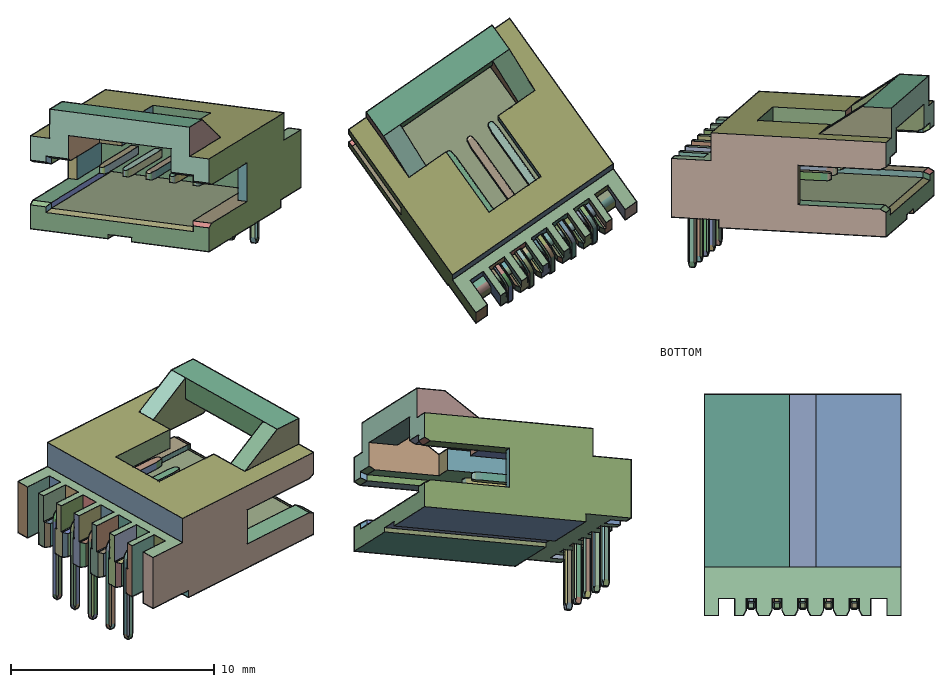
import cadquery as cq
import math


width = 9.68
length = 10.90
body_height = 4.77
rear_top_start = 8.89
rear_top_height = 3.37
rear_foot_start = 8.50
rear_foot_height = 0.40
key_groove_width = 1.28
key_groove_height = 0.22

cavity_depth = 7.36
cavity_floor = 1.10
cavity_ceiling = 3.68
cavity_centre_width = 7.66
side_floor = 1.39
side_ceiling = rear_top_height
cavity_side_width = 8.72
side_slot_depth = 4.48
mouth_flare = 0.16
mouth_flare_depth = 0.30

hood_width = 7.57
hood_top = 6.27
hood_flat_length = 1.48
hood_length = 3.67
hood_underside = 5.04
latch_width = 5.55
latch_slot_width = 3.12

pin_count = 5
pitch = 1.27
pin_size = 0.40
pin_height = 2.38
pin_row = 10.40
pin_bend_radius = 0.43
pin_chamfer = 0.088
pin_foot = -2.57
foot_taper_length = 0.30
foot_tip_size = 0.24
pin_front = 3.37
blade_taper_start = 3.85
blade_tip_start = 3.51
blade_tip_width = 0.30
blade_tip_height = 0.32
blade_tip_rounding = 0.13

comb_wall = 9.41
pin_gap = 0.92
end_gap_inner = 3.35
end_gap_outer = 4.14
support_end = 10.07
support_rounding = 0.31
support_top = pin_height - pin_size / 2
guide_ledge = support_top - support_rounding
guide_top_half_gap = 0.373
guide_half_gap = 0.241
guide_lead_length = 0.26

overlap = 1.0
pin_positions = [(i - (pin_count - 1) / 2) * pitch for i in range(pin_count)]


def block(x, y, z):
    """Box given by its (low, high) limits on each axis."""
    size = (x[1] - x[0], y[1] - y[0], z[1] - z[0])
    return cq.Workplane("XY").box(*size, centered=False).translate((x[0], y[0], z[0]))


def centred_block(x_width, y, z):
    return block((-x_width / 2, x_width / 2), y, z)


def side_profile(points, x_width):
    """Closed (y, z) outline extruded evenly about X = 0."""
    return cq.Workplane("YZ").polyline(points).close().extrude(x_width / 2, both=True)


def housing_shell():
    body = side_profile(
        [
            (0, 0),
            (rear_foot_start, 0),
            (rear_foot_start, rear_foot_height),
            (length, rear_foot_height),
            (length, rear_top_height),
            (rear_top_start, rear_top_height),
            (rear_top_start, body_height),
            (0, body_height),
        ],
        width,
    )
    hood = side_profile(
        [
            (0, side_ceiling + mouth_flare),
            (0, hood_top),
            (hood_flat_length, hood_top),
            (hood_length, body_height),
            (hood_length, side_ceiling + mouth_flare),
        ],
        hood_width,
    )
    groove = centred_block(key_groove_width, (0, rear_foot_start), (0, key_groove_height))
    return body.union(hood).cut(groove)


def flared_mouth(x_width, floor, ceiling):
    """Tapered lead-in from the mouth face down to the given opening."""
    height = ceiling - floor
    return (
        cq.Workplane("XZ")
        .center(0, (floor + ceiling) / 2)
        .rect(x_width + 2 * mouth_flare, height + 2 * mouth_flare)
        .workplane(offset=-mouth_flare_depth)
        .rect(x_width, height)
        .loft(combine=True)
    )


def mating_cavity():
    centre_z = (cavity_floor, cavity_ceiling)
    side_z = (side_floor, side_ceiling)
    open_width = width + 2 * overlap
    return (
        centred_block(cavity_centre_width, (0, cavity_depth), centre_z)
        .union(centred_block(cavity_side_width, (0, cavity_depth), side_z))
        .union(centred_block(open_width, (0, side_slot_depth), side_z))
        .union(flared_mouth(cavity_centre_width, *centre_z))
        .union(flared_mouth(open_width, *side_z))
    )


def latch_opening():
    mid_height = (cavity_floor + cavity_ceiling) / 2
    under_hood = centred_block(latch_width, (0, hood_length), (mid_height, hood_underside))
    behind_hood = centred_block(
        latch_width, (hood_flat_length, hood_length), (mid_height, hood_top + overlap)
    )
    slot = centred_block(latch_slot_width, (hood_length, cavity_depth), (mid_height, body_height))
    return under_hood.union(behind_hood).union(slot)


def comb_gap(x_low, x_high):
    """Gap between two comb teeth, leaving a rounded pin support at its root."""
    gap = block((x_low, x_high), (comb_wall, length), (0, body_height))
    support = (
        block((x_low, x_high), (comb_wall, support_end), (0, support_top))
        .edges("|X and >Y and >Z")
        .fillet(support_rounding)
    )
    return gap.cut(support)


def pin_guide(x, side):
    """Ledge low on one tooth that narrows the gap beside a pin; side is -1 or +1."""
    ramp_height = guide_top_half_gap - guide_half_gap
    tooth_face = pin_gap / 2
    section = [
        (tooth_face, rear_foot_height),
        (guide_half_gap, rear_foot_height),
        (guide_half_gap, guide_ledge - ramp_height),
        (guide_top_half_gap, guide_ledge),
        (tooth_face, guide_ledge),
    ]
    plan = [
        (tooth_face, support_end),
        (guide_half_gap, support_end),
        (guide_half_gap, length - guide_lead_length),
        (guide_top_half_gap, length),
        (tooth_face, length),
    ]
    bar = cq.Workplane("XZ").polyline([(side * u, z) for u, z in section]).close().extrude(-length)
    outline = cq.Workplane("XY").polyline([(side * u, y) for u, y in plan]).close().extrude(body_height)
    return bar.intersect(outline).translate((x, 0, 0))


def pin_blade():
    """Square contact with a narrowed, rounded tip, running from the cavity into the rear wall."""
    half = pin_size / 2
    half_tip = blade_tip_width / 2
    plan = (
        cq.Workplane("XY")
        .moveTo(-half, comb_wall)
        .lineTo(-half, blade_taper_start)
        .lineTo(-half_tip, blade_tip_start)
        .lineTo(-half_tip, pin_front + blade_tip_rounding)
        .radiusArc((-half_tip + blade_tip_rounding, pin_front), -blade_tip_rounding)
        .lineTo(half_tip - blade_tip_rounding, pin_front)
        .radiusArc((half_tip, pin_front + blade_tip_rounding), -blade_tip_rounding)
        .lineTo(half_tip, blade_tip_start)
        .lineTo(half, blade_taper_start)
        .lineTo(half, comb_wall)
        .close()
        .extrude(body_height)
    )
    half_tip_height = blade_tip_height / 2
    profile = side_profile(
        [
            (comb_wall, pin_height + half),
            (blade_tip_start, pin_height + half),
            (pin_front, pin_height + half_tip_height),
            (pin_front, pin_height - half_tip_height),
            (blade_tip_start, pin_height - half),
            (comb_wall, pin_height - half),
        ],
        pin_size,
    )
    return plan.intersect(profile)


def pin_tail():
    """Chamfered solder tail: out of the rear wall, around the bend and down to a tapered foot."""
    bend_start = pin_row - pin_bend_radius
    bend_bottom = pin_height - pin_bend_radius
    taper_start = pin_foot + foot_taper_length
    arc_middle = (
        bend_start + pin_bend_radius * math.sin(math.pi / 4),
        bend_bottom + pin_bend_radius * math.cos(math.pi / 4),
    )
    path = (
        cq.Workplane("YZ")
        .moveTo(comb_wall, pin_height)
        .lineTo(bend_start, pin_height)
        .threePointArc(arc_middle, (pin_row, bend_bottom))
        .lineTo(pin_row, taper_start)
    )
    half = pin_size / 2
    flat = half - pin_chamfer
    octagon = [
        (-half, -flat),
        (-flat, -half),
        (flat, -half),
        (half, -flat),
        (half, flat),
        (flat, half),
        (-flat, half),
        (-half, flat),
    ]
    start_plane = cq.Workplane("XZ", origin=(0, comb_wall, pin_height))
    tail = start_plane.polyline(octagon).close().sweep(path)

    foot_plane = cq.Workplane("XY", origin=(0, pin_row, taper_start))
    foot_bar = foot_plane.polyline(octagon).close().extrude(-foot_taper_length)
    foot_taper = (
        foot_plane.rect(pin_size, pin_size)
        .workplane(offset=-foot_taper_length)
        .rect(foot_tip_size, foot_tip_size)
        .loft(combine=True)
    )
    return tail.union(foot_bar.intersect(foot_taper))


part = housing_shell().cut(mating_cavity()).cut(latch_opening())

part = part.cut(comb_gap(-end_gap_outer, -end_gap_inner))
part = part.cut(comb_gap(end_gap_inner, end_gap_outer))
for x in pin_positions:
    part = part.cut(comb_gap(x - pin_gap / 2, x + pin_gap / 2))
    for side in (-1, 1):
        part = part.union(pin_guide(x, side))

pin = pin_blade().union(pin_tail())
for x in pin_positions:
    part = part.union(pin.translate((x, 0, 0)))

result = part